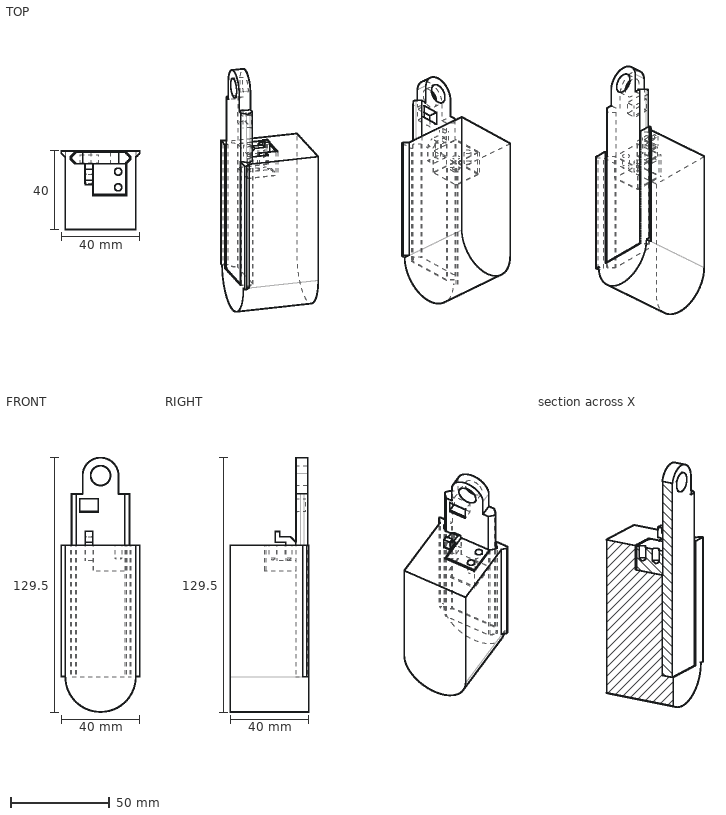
import cadquery as cq
import math


HOUSING_WIDTH = 36.0
HOUSING_DEPTH = 40.0
BOTTOM_RADIUS = HOUSING_WIDTH / 2
HOUSING_HEIGHT = 85.0
STRAIGHT_HEIGHT = HOUSING_HEIGHT - BOTTOM_RADIUS
FLANGE_WIDTH = 40.0
FLANGE_EDGE = 1.2

TOTAL_HEIGHT = 129.5
PLATE_THICKNESS = 6.1
PLATE_SETBACK = 0.5
PLATE_FLAT_WIDTH = 24.6
PLATE_TIP_RADIUS = 1.3
SHOULDER_HEIGHT = 26.0
PLATE_DEPTH = STRAIGHT_HEIGHT
GUIDE_CLEARANCE = 0.6
LUG_WIDTH = 18.3
LUG_RADIUS = 9.2
LUG_HOLE_DIAMETER = 10.0
LUG_HEIGHT = TOTAL_HEIGHT - HOUSING_HEIGHT
EYE_HEIGHT = LUG_HEIGHT - LUG_RADIUS
ARC_START_HEIGHT = EYE_HEIGHT + math.sqrt(LUG_RADIUS**2 - (LUG_WIDTH / 2) ** 2)
PLATE_FRONT = -PLATE_SETBACK - PLATE_THICKNESS

WINDOW_WIDTH = 9.2
WINDOW_HEIGHT = 7.0
WINDOW_DEPTH = 4.7
WINDOW_LEFT = -10.5
WINDOW_BOTTOM = 16.7
WINDOW_CHAMFER = 0.5

LATCH_WIDTH = 3.8
LATCH_LEFT = -7.8
LATCH_FOOT = 5.2
LATCH_REACH = 10.6
LATCH_FINGER = 2.5
LATCH_UNDERSIDE = 1.4
LATCH_ARM_TOP = 4.3
LATCH_TIP_TOP = 7.0
LATCH_CHAMFER = 2.7
LATCH_DEPTH = 7.8
LATCH_CLEARANCE = 0.4
LATCH_SLOT_REACH = 9.8

INSERT_LEFT = -3.6
INSERT_WIDTH = 16.5
INSERT_LENGTH = 15.3
INSERT_DEPTH = 13.0
INSERT_SIDE_CLEARANCE = 0.4
INSERT_FRONT_CLEARANCE = 0.8
SCREW_HOLE_DIAMETER = 3.6
SCREW_HOLE_DEPTH = 6.5
SCREW_HOLE_X = 9.0
SCREW_HOLE_SPACING = 8.0
SCREW_HOLE_COUNT = 2
FIRST_SCREW_HOLE = 3.9
DRILL_POINT_ANGLE = 118.0


def box(left, front, bottom, width, depth, height):
    return cq.Workplane("XY").box(width, depth, height, centered=False).translate((left, front, bottom))


def guide_profile(flat_width, height):
    """Upright bar with 45 degree sides meeting in rounded edges, its foot at the slot floor."""
    half_flat = flat_width / 2
    half_thickness = PLATE_THICKNESS / 2
    tip = half_flat + half_thickness
    rear = -PLATE_SETBACK
    middle = rear - half_thickness
    bar = (
        cq.Workplane("XY", origin=(0, 0, -PLATE_DEPTH))
        .polyline([
            (-half_flat, rear),
            (half_flat, rear),
            (tip, middle),
            (half_flat, PLATE_FRONT),
            (-half_flat, PLATE_FRONT),
            (-tip, middle),
        ])
        .close()
        .extrude(PLATE_DEPTH + height)
    )
    return bar.edges("|Z and (<X or >X)").fillet(PLATE_TIP_RADIUS)


def make_housing():
    """Round-bottomed box with a rear flange, a shackle slot, a latch slot and an insert pocket."""
    half_width = HOUSING_WIDTH / 2
    half_flange = FLANGE_WIDTH / 2
    slope = half_flange - half_width
    body = (
        cq.Workplane("XZ")
        .moveTo(-half_width, 0)
        .lineTo(half_width, 0)
        .lineTo(half_width, -STRAIGHT_HEIGHT)
        .threePointArc((0, -HOUSING_HEIGHT), (-half_width, -STRAIGHT_HEIGHT))
        .close()
        .extrude(HOUSING_DEPTH)
    )
    flanges = (
        cq.Workplane("XY", origin=(0, 0, -STRAIGHT_HEIGHT))
        .polyline([
            (-half_flange, 0),
            (half_flange, 0),
            (half_flange, -FLANGE_EDGE),
            (half_width, -FLANGE_EDGE - slope),
            (-half_width, -FLANGE_EDGE - slope),
            (-half_flange, -FLANGE_EDGE),
        ])
        .close()
        .extrude(STRAIGHT_HEIGHT)
    )
    slot_flat = PLATE_FLAT_WIDTH + 2 * GUIDE_CLEARANCE
    plate_slot = guide_profile(slot_flat, 0)
    rear_opening = box(-slot_flat / 2, -PLATE_SETBACK, -PLATE_DEPTH, slot_flat, PLATE_SETBACK, PLATE_DEPTH)
    latch_slot = box(
        LATCH_LEFT - LATCH_CLEARANCE,
        PLATE_FRONT - LATCH_SLOT_REACH,
        -LATCH_DEPTH,
        LATCH_WIDTH + LATCH_CLEARANCE,
        LATCH_SLOT_REACH,
        LATCH_DEPTH,
    )
    insert_pocket = box(
        INSERT_LEFT - INSERT_SIDE_CLEARANCE,
        PLATE_FRONT - INSERT_LENGTH - INSERT_FRONT_CLEARANCE,
        -INSERT_DEPTH,
        INSERT_WIDTH + 2 * INSERT_SIDE_CLEARANCE,
        INSERT_LENGTH + INSERT_FRONT_CLEARANCE,
        INSERT_DEPTH,
    )
    return body.union(flanges).cut(plate_slot).cut(rear_opening).cut(latch_slot).cut(insert_pocket)


def make_shackle_plate():
    """Sliding plate with a round lug, an eye through it and a blind catch window."""
    lug = (
        cq.Workplane("XZ", origin=(0, -PLATE_SETBACK, 0))
        .moveTo(-LUG_WIDTH / 2, 0)
        .lineTo(LUG_WIDTH / 2, 0)
        .lineTo(LUG_WIDTH / 2, ARC_START_HEIGHT)
        .threePointArc((0, LUG_HEIGHT), (-LUG_WIDTH / 2, ARC_START_HEIGHT))
        .close()
        .extrude(PLATE_THICKNESS)
    )
    eye = (
        cq.Workplane("XZ", origin=(0, -PLATE_SETBACK, 0))
        .center(0, EYE_HEIGHT)
        .circle(LUG_HOLE_DIAMETER / 2)
        .extrude(PLATE_THICKNESS)
    )
    window = (
        cq.Workplane("YZ", origin=(WINDOW_LEFT, 0, 0))
        .polyline([
            (PLATE_FRONT, WINDOW_BOTTOM),
            (PLATE_FRONT + WINDOW_CHAMFER, WINDOW_BOTTOM + WINDOW_CHAMFER),
            (PLATE_FRONT + WINDOW_DEPTH, WINDOW_BOTTOM + WINDOW_CHAMFER),
            (PLATE_FRONT + WINDOW_DEPTH, WINDOW_BOTTOM + WINDOW_HEIGHT),
            (PLATE_FRONT, WINDOW_BOTTOM + WINDOW_HEIGHT),
        ])
        .close()
        .extrude(WINDOW_WIDTH)
    )
    return guide_profile(PLATE_FLAT_WIDTH, SHOULDER_HEIGHT).union(lug).cut(eye).cut(window)


def make_latch():
    """Cranked lever standing in its slot, with an upturned finger."""
    finger_rear = PLATE_FRONT - LATCH_REACH + LATCH_FINGER
    return (
        cq.Workplane("YZ", origin=(LATCH_LEFT, 0, 0))
        .polyline([
            (PLATE_FRONT, -LATCH_DEPTH),
            (PLATE_FRONT, LATCH_ARM_TOP - LATCH_CHAMFER),
            (PLATE_FRONT - LATCH_CHAMFER, LATCH_ARM_TOP),
            (finger_rear, LATCH_ARM_TOP),
            (finger_rear, LATCH_TIP_TOP),
            (PLATE_FRONT - LATCH_REACH, LATCH_TIP_TOP),
            (PLATE_FRONT - LATCH_REACH, LATCH_UNDERSIDE),
            (PLATE_FRONT - LATCH_FOOT, LATCH_UNDERSIDE),
            (PLATE_FRONT - LATCH_FOOT, -LATCH_DEPTH),
        ])
        .close()
        .extrude(LATCH_WIDTH)
    )


def make_insert():
    """Block flush with the housing top, with two blind drilled holes."""
    block = box(
        INSERT_LEFT, PLATE_FRONT - INSERT_LENGTH, -INSERT_DEPTH, INSERT_WIDTH, INSERT_LENGTH, INSERT_DEPTH
    )
    radius = SCREW_HOLE_DIAMETER / 2
    point = radius / math.tan(math.radians(DRILL_POINT_ANGLE / 2))
    drill = (
        cq.Workplane("XZ")
        .polyline([
            (0, 0),
            (radius, 0),
            (radius, -SCREW_HOLE_DEPTH),
            (0, -SCREW_HOLE_DEPTH - point),
        ])
        .close()
        .revolve(360, (0, 0), (0, 1))
    )
    for index in range(SCREW_HOLE_COUNT):
        hole_y = PLATE_FRONT - FIRST_SCREW_HOLE - index * SCREW_HOLE_SPACING
        block = block.cut(drill.translate((SCREW_HOLE_X, hole_y, 0)))
    return block


housing = make_housing()
shackle_plate = make_shackle_plate()
latch = make_latch()
insert = make_insert()

result = cq.Compound.makeCompound([housing.val(), shackle_plate.val(), latch.val(), insert.val()])